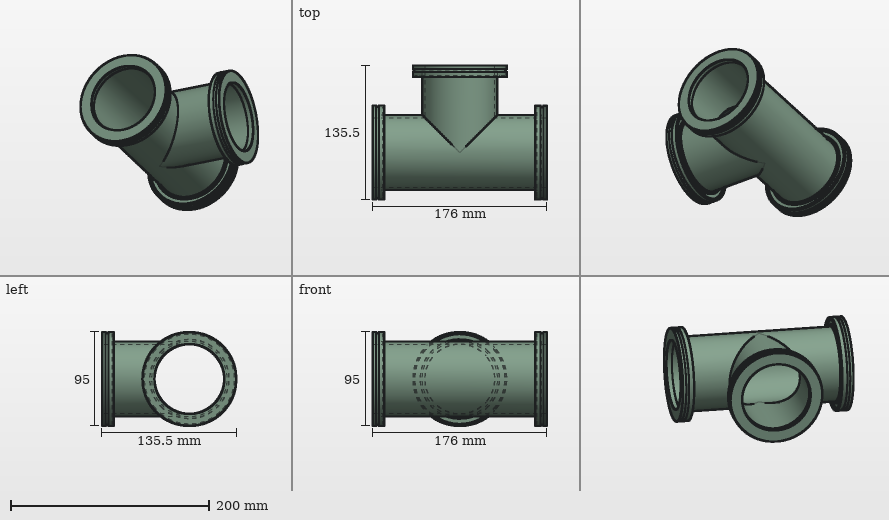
import cadquery as cq

run_length = 176.0
branch_reach = run_length / 2

tube_radius = 38.0
bore_radius = 35.0

flange_radius = 47.5
flange_thickness = 12.0
socket_start = 5.8
groove_radius = 1.5
groove_position = 5.1
recess_inner_radius = 40.1
recess_outer_radius = 45.2
recess_depth = 1.8
edge_chamfer = 0.4


def make_tee():
    """Hollow equal tee whose three ends seat on the flange shoulders."""
    half_run = run_length / 2 - socket_start
    branch_length = branch_reach - socket_start

    def cross(radius):
        run = cq.Workplane("YZ").circle(radius).extrude(half_run, both=True)
        branch = cq.Workplane("XZ").circle(radius).extrude(-branch_length)
        return run.union(branch)

    return cross(tube_radius).cut(cross(bore_radius))


def make_flange():
    """Flange on the X axis, outer face at X = 0 and body towards +X."""
    def disc(radius, start, end):
        return cq.Workplane("YZ", origin=(start, 0, 0)).circle(radius).extrude(end - start)

    blank = disc(flange_radius, 0, flange_thickness)
    bore = disc(bore_radius, 0, flange_thickness)
    socket = disc(tube_radius, socket_start, flange_thickness)

    recess_floor = flange_thickness - recess_depth
    recess = disc(recess_outer_radius, recess_floor, flange_thickness).cut(
        disc(recess_inner_radius, recess_floor, flange_thickness)
    )

    rim_groove = (
        cq.Workplane("XY")
        .center(groove_position, flange_radius)
        .circle(groove_radius)
        .revolve(360, (0, -flange_radius, 0), (1, -flange_radius, 0))
    )
    flange = blank.cut(bore).cut(recess)
    flange = flange.faces("<X or >X").edges().chamfer(edge_chamfer)
    return flange.cut(socket).cut(rim_groove)


tee = make_tee()

flange_angles = (0, 180, -90)
flanges = []
for angle in flange_angles:
    flange = make_flange().translate((-run_length / 2, 0, 0))
    flanges.append(flange.rotate((0, 0, 0), (0, 0, 1), angle))

result = cq.Compound.makeCompound([tee.val()] + [flange.val() for flange in flanges])